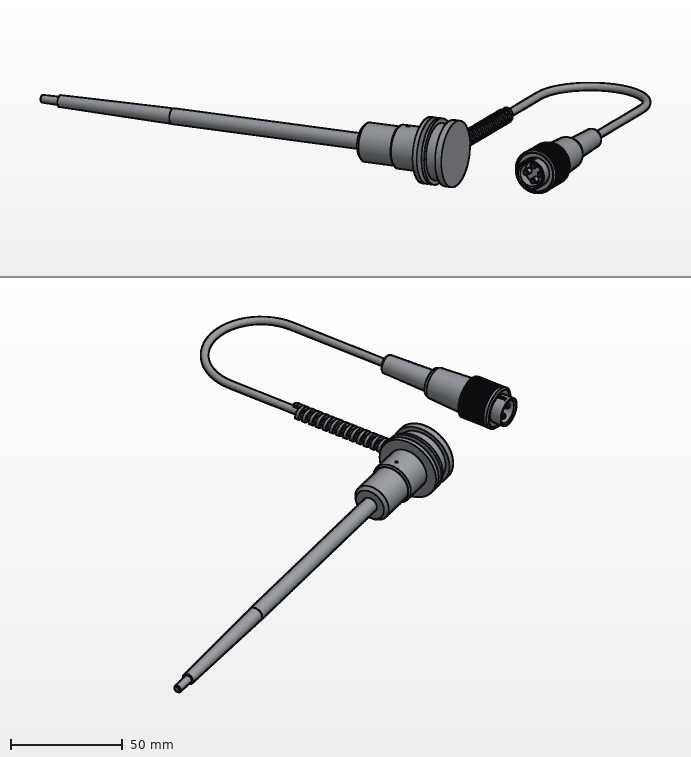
import cadquery as cq
import math


overall_length = 259.7

tip_end_dia = 3.6
tip_base_dia = 4.0
tip_end_chamfer = 0.5
tip_length = 9.0
taper_start_dia = 5.5
taper_end_x = 59.7
collar_dia = 7.0
collar_end_x = 65.0

tube_dia = 7.3

handle_start_x = 159.7
nose_dia = 18.0
nose_chamfer = 1.5
sleeve_start_x = 177.0
sleeve_dia = 20.0
sleeve_chamfer = 0.8
flange_dia = 30.0
front_flange_x = 191.0
front_flange_width = 2.0
middle_flange_x = 195.3
middle_flange_width = 1.3
rear_flange_x = 202.0
handle_end_x = 205.2
hub_dia = 26
dot_x = 181.5
dot_dia = 1.0
dot_depth = 0.8

cable_dia = 3.6
cable_start_x = 199.2
cable_start_y = 12.2
bend_centre_y = 99.7

spring_wire_thickness = 1.5
spring_wire_width = 1.8
spring_dia = 7.0
spring_pitch = 3.6
spring_end_y = 66.0
spring_seat_dia = 7.3

plug_grip_dia = 20.0
plug_x = overall_length - plug_grip_dia / 2
boot_start_y = 49.5
boot_start_dia = 8.8
boot_end_dia = 10.5
boot_chamfer = 0.8
shell_start_y = 24.7
shell_start_dia = 13.5
shell_shoulder_dia = 14.8
shell_chamfer = 1.5
shell_end_dia = 17.0
nut_start_y = 4.7
nut_end_y = -11.2
plug_end_y = -15.8
core_dia = 13.5
socket_dia = 11.0
socket_chamfer = 0.65
socket_depth = 6.2
keyway_width = 1.5
keyway_depth = 0.8
keyway_length = 3.0
pin_dia = 2.47
pin_chamfer = 0.5
pin_length = 4.2
pin_circle_dia = 7.0
pin_count = 4

nut_dia = 19.7
rim_width = 2.5
rim_chamfer = 0.8
nut_recess_dia = 18.0
nut_recess_depth = 0.8
knurl_count = 60
knurl_depth = 0.5
knurl_width = 0.5

bend_radius = (plug_x - cable_start_x) / 2


def turned_on_x(points):
    """Revolve an (x, radius) outline about the X axis."""
    return cq.Workplane("XY").polyline(points).close().revolve(360, (0, 0, 0), (1, 0, 0))


def turned_on_plug_axis(points):
    """Revolve a (radius, y) outline about the plug axis, parallel to Y."""
    plane = cq.Workplane("XY", origin=(plug_x, 0, 0))
    return plane.polyline(points).close().revolve(360, (0, 0, 0), (0, 1, 0))


def cylinder_along_y(x, y, dia, length):
    """Cylinder that starts at height y and runs towards +Y."""
    return cq.Workplane("XZ", origin=(x, y, 0)).circle(dia / 2).extrude(-length)


def make_tip():
    return turned_on_x([
        (0, 0),
        (0, tip_end_dia / 2 - tip_end_chamfer),
        (tip_end_chamfer, tip_end_dia / 2),
        (tip_length, tip_base_dia / 2),
        (tip_length, taper_start_dia / 2),
        (taper_end_x, collar_dia / 2),
        (collar_end_x, collar_dia / 2),
        (collar_end_x, 0),
    ])


def make_tube():
    length = handle_start_x - collar_end_x
    return cq.Workplane("YZ", origin=(collar_end_x, 0, 0)).circle(tube_dia / 2).extrude(length)


def make_handle():
    def disc(start_x, end_x, dia):
        return cq.Workplane("YZ", origin=(start_x, 0, 0)).circle(dia / 2).extrude(end_x - start_x)

    nose = disc(handle_start_x, sleeve_start_x, nose_dia).faces("<X").chamfer(nose_chamfer)
    sleeve = disc(sleeve_start_x, middle_flange_x, sleeve_dia).faces("<X").chamfer(sleeve_chamfer)
    hub = disc(middle_flange_x, handle_end_x, hub_dia)
    handle = nose.union(sleeve).union(hub)
    flanges = [
        (front_flange_x, front_flange_x + front_flange_width),
        (middle_flange_x, middle_flange_x + middle_flange_width),
        (rear_flange_x, handle_end_x),
    ]
    for start_x, end_x in flanges:
        handle = handle.union(disc(start_x, end_x, flange_dia))

    spring_seat = cylinder_along_y(cable_start_x, cable_start_y, spring_seat_dia, flange_dia / 2)
    dot_floor = sleeve_dia / 2 - dot_depth
    dot = cq.Workplane("XY", origin=(dot_x, 0, dot_floor)).circle(dot_dia / 2).extrude(sleeve_dia)
    return handle.cut(spring_seat).cut(dot)


def make_cable():
    path = (
        cq.Workplane("XY")
        .moveTo(cable_start_x, cable_start_y)
        .lineTo(cable_start_x, bend_centre_y)
        .threePointArc((cable_start_x + bend_radius, bend_centre_y + bend_radius), (plug_x, bend_centre_y))
        .lineTo(plug_x, boot_start_y)
    )
    section = cq.Workplane("XZ", origin=(cable_start_x, cable_start_y, 0)).circle(cable_dia / 2)
    return section.sweep(path)


def make_spring():
    coil_radius = (spring_dia - spring_wire_thickness) / 2
    start_y = cable_start_y + spring_wire_width / 2
    height = spring_end_y - spring_wire_width / 2 - start_y
    helix = cq.Wire.makeHelix(spring_pitch, height, coil_radius, lefthand=True)
    wire = cq.Workplane("XZ", origin=(coil_radius, 0, 0)).rect(spring_wire_thickness, spring_wire_width)
    coil = wire.sweep(cq.Workplane(obj=helix), isFrenet=True)
    return coil.rotate((0, 0, 0), (1, 0, 0), -90).translate((cable_start_x, start_y, 0))


def make_plug():
    boot = turned_on_plug_axis([
        (0, boot_start_y),
        (boot_start_dia / 2, boot_start_y),
        (boot_end_dia / 2, shell_start_y),
        (0, shell_start_y),
    ]).faces(">Y").edges().chamfer(boot_chamfer)
    body = turned_on_plug_axis([
        (0, shell_start_y),
        (shell_start_dia / 2, shell_start_y),
        (shell_shoulder_dia / 2, shell_start_y - shell_chamfer),
        (shell_end_dia / 2, nut_start_y),
        (core_dia / 2, nut_start_y),
        (core_dia / 2, plug_end_y),
        (0, plug_end_y),
    ])
    socket = cylinder_along_y(plug_x, plug_end_y, socket_dia, socket_depth)
    plug = boot.union(body).cut(socket)
    plug = plug.faces("<Y").edges(cq.selectors.RadiusNthSelector(0)).chamfer(socket_chamfer)
    keyway = cq.Workplane("XY").box(keyway_width, keyway_length, keyway_depth, centered=(True, False, False))
    keyway = keyway.translate((plug_x, nut_end_y - keyway_length, core_dia / 2 - keyway_depth))
    plug = plug.cut(keyway)

    for i in range(pin_count):
        angle = 2 * math.pi * i / pin_count
        pin_x = plug_x + pin_circle_dia / 2 * math.cos(angle)
        pin_z = pin_circle_dia / 2 * math.sin(angle)
        pin = cylinder_along_y(pin_x, plug_end_y + socket_depth - pin_length, pin_dia, pin_length)
        pin = pin.faces("<Y").chamfer(pin_chamfer)
        plug = plug.union(pin.translate((0, 0, pin_z)))
    return plug


def make_nut():
    outer = nut_dia / 2
    rim = plug_grip_dia / 2
    rim_y = nut_end_y + rim_width
    nut = turned_on_plug_axis([
        (core_dia / 2, nut_start_y),
        (outer, nut_start_y),
        (outer, rim_y),
        (rim, nut_end_y + rim_chamfer),
        (rim - rim_chamfer, nut_end_y),
        (nut_recess_dia / 2, nut_end_y),
        (nut_recess_dia / 2, nut_end_y + nut_recess_depth),
        (core_dia / 2, nut_end_y + nut_recess_depth),
    ])
    groove_length = nut_start_y - rim_y
    groove = cq.Workplane("XY").box(knurl_width, groove_length, 2 * knurl_depth, centered=(True, False, True))
    groove = groove.translate((plug_x, rim_y, outer))
    grooves = [
        groove.rotate((plug_x, 0, 0), (plug_x, 1, 0), 360 * i / knurl_count).val()
        for i in range(knurl_count)
    ]
    return nut.cut(cq.Workplane(obj=cq.Compound.makeCompound(grooves)))


tip = make_tip()
tube = make_tube()
handle = make_handle()
cable = make_cable()
spring = make_spring()
plug = make_plug()
nut = make_nut()

result = cq.Compound.makeCompound([
    tip.val(), tube.val(), handle.val(), cable.val(), spring.val(), plug.val(), nut.val(),
])